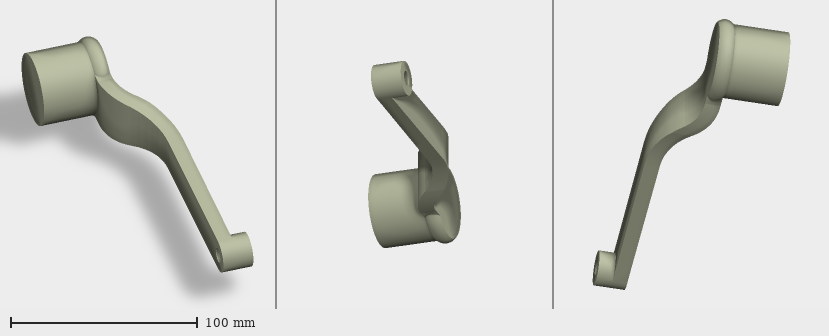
import cadquery as cq
import math

knob_radius = 40.0 / 2
collar_radius = 22.0
collar_front = 30.0
collar_thickness = 8.6
collar_back = collar_front + collar_thickness

overall_length = 191.5
overall_depth = 70.0
boss_radius = 19.0 / 2
boss_x = overall_length - collar_radius - boss_radius
boss_front = 53.2
hole_diameter = 8.0

bend_start = knob_radius
bend_end = 73.5
bar_taper_start = 75.5
lower_front = (44.2, 40.2)
upper_front = (45.0, 41.0)
lower_back = (37.7, 46.0)
upper_back = (38.5, 46.7)
bar_start_front = 52.6
bar_start_back = 61.0
bar_end_back = 61.3

root_half_height = 14.2
crest_half_height = 15.0
crest_x = 34.5
shoulder_half_height = 13.5
shoulder_x = 44.6
bar_half_height = boss_radius
side_margin = 2


def flat_arc_middle(flat, end):
    """Middle of the arc that runs along X at point flat and passes through end."""
    run = end[0] - flat[0]
    rise = end[1] - flat[1]
    half_angle = math.atan2(abs(rise), abs(run))
    radius = abs(run) / math.sin(2 * half_angle)
    middle_x = flat[0] + math.copysign(radius * math.sin(half_angle), run)
    middle_y = flat[1] + math.copysign(radius * (1 - math.cos(half_angle)), rise)
    return middle_x, middle_y


def make_knob():
    """Solid cylindrical knob with a rounded collar at its back end."""
    return (
        cq.Workplane("XY")
        .lineTo(knob_radius, 0)
        .lineTo(knob_radius, collar_front)
        .threePointArc(
            (collar_radius, collar_front + collar_thickness / 2),
            (knob_radius, collar_back),
        )
        .lineTo(0, collar_back)
        .close()
        .revolve(360, (0, 0, 0), (0, 1, 0))
    )


def make_side_profile():
    """S-bent strip in the XY plane, extruded past the tallest part of the arm."""
    root_front = (bend_start, collar_front)
    root_back = (bend_start, collar_back)
    bar_front = (bend_end, bar_start_front)
    bar_back = (bend_end, bar_start_back)
    return (
        cq.Workplane("XY")
        .moveTo(0, collar_front)
        .lineTo(*root_front)
        .threePointArc(flat_arc_middle(root_front, lower_front), lower_front)
        .lineTo(*upper_front)
        .threePointArc(flat_arc_middle(bar_front, upper_front), bar_front)
        .lineTo(bar_taper_start, bar_start_front)
        .lineTo(boss_x - boss_radius, boss_front)
        .lineTo(boss_x, boss_front)
        .lineTo(boss_x, bar_end_back)
        .lineTo(*bar_back)
        .threePointArc(flat_arc_middle(bar_back, upper_back), upper_back)
        .lineTo(*lower_back)
        .threePointArc(flat_arc_middle(root_back, lower_back), root_back)
        .lineTo(0, collar_back)
        .close()
        .extrude(crest_half_height + side_margin, both=True)
    )


def make_front_outline():
    """Outline in the XZ plane: a swollen root narrowing to a straight bar."""
    upper_half = (
        cq.Workplane("XZ")
        .lineTo(0, root_half_height)
        .lineTo(bend_start, root_half_height)
        .threePointArc((crest_x, crest_half_height), (shoulder_x, shoulder_half_height))
        .threePointArc(
            flat_arc_middle((bend_end, bar_half_height), (shoulder_x, shoulder_half_height)),
            (bend_end, bar_half_height),
        )
        .lineTo(boss_x, bar_half_height)
        .lineTo(boss_x, 0)
        .close()
        .extrude(-overall_depth)
    )
    return upper_half.union(upper_half.mirror("XY"))


def cylinder_along_y(diameter, start, end):
    """Cylinder on the boss axis between two Y positions."""
    return (
        cq.Workplane("XZ", origin=(boss_x, start, 0))
        .circle(diameter / 2)
        .extrude(start - end)
    )


arm = make_side_profile().intersect(make_front_outline())
boss = cylinder_along_y(2 * boss_radius, boss_front, overall_depth)
hole = cylinder_along_y(hole_diameter, 0, overall_depth)

result = make_knob().union(arm).union(boss).cut(hole)